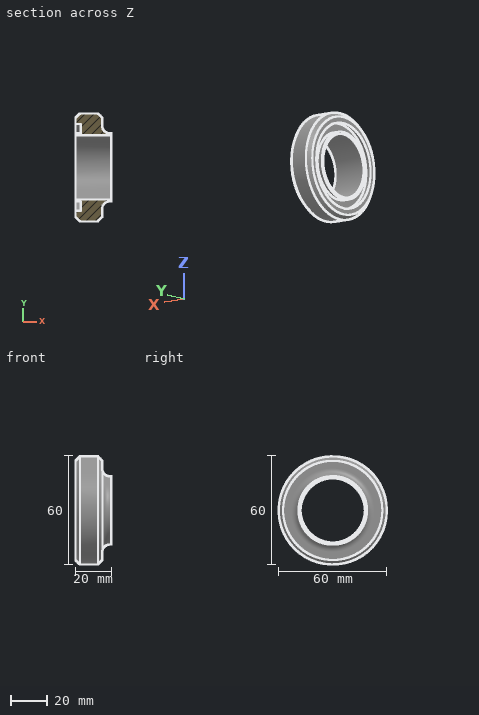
import cadquery as cq

outer_diameter = 60.0
bore_diameter = 35.5
hub_diameter = 38.0
recess_diameter = 48.0
total_length = 20.0
body_length = 15.0
chamfer_size = 2.5
hub_land_length = 0.95
recess_depth = 3.0

outer_radius = outer_diameter / 2
hub_radius = hub_diameter / 2
fillet_radius = total_length - body_length - hub_land_length


def cylinder(diameter, start, length):
    """Solid cylinder along X that begins at the given X position."""
    return cq.Workplane("YZ", origin=(start, 0, 0)).circle(diameter / 2).extrude(length)


outline = (
    cq.Workplane("XY")
    .moveTo(0, 0)
    .lineTo(0, outer_radius - chamfer_size)
    .lineTo(chamfer_size, outer_radius)
    .lineTo(body_length - chamfer_size, outer_radius)
    .lineTo(body_length, outer_radius - chamfer_size)
    .lineTo(body_length, hub_radius + fillet_radius)
    .radiusArc((body_length + fillet_radius, hub_radius), -fillet_radius)
    .lineTo(total_length, hub_radius)
    .lineTo(total_length, 0)
    .close()
)
body = outline.revolve(360, (0, 0, 0), (1, 0, 0))

recess = cylinder(recess_diameter, 0, recess_depth).cut(cylinder(hub_diameter, 0, recess_depth))

bore = cylinder(bore_diameter, 0, total_length)

result = body.cut(recess).cut(bore)